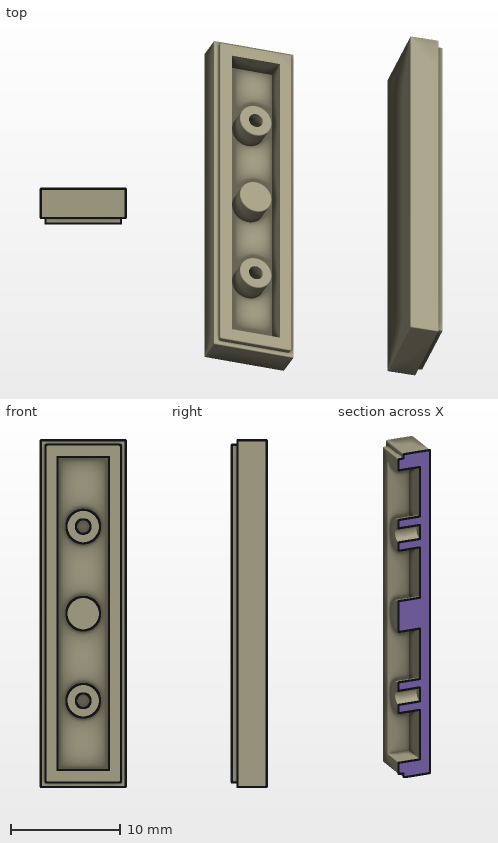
import cadquery as cq

width = 7.8
depth = 3.2
height = 31.8

lip_depth = 0.5
lip_inset = 0.4
lip_width = width - 2 * lip_inset
lip_height = height - 2 * lip_inset

wall = 1.15
cavity_depth = 2.15
cavity_width = lip_width - 2 * wall
cavity_height = lip_height - 2 * wall

post_diameter = 3.1
bore_diameter = 1.35
post_pitch = 7.98

body_round = 0.1
lip_corner_round = 0.2
lip_front_round = 0.1
post_round = 0.1

front_y = -depth / 2
body_front_y = front_y + lip_depth
back_y = depth / 2
floor_y = front_y + cavity_depth


def block(size_x, size_z, start_y, end_y):
    """Box centred in X and Z that spans start_y to end_y."""
    box = cq.Workplane("XY").box(size_x, end_y - start_y, size_z)
    return box.translate((0, (start_y + end_y) / 2, 0))


def cylinder(diameter, z):
    """Cylinder along Y from the cavity floor to the front of the lip."""
    plane = cq.Workplane("XZ", origin=(0, floor_y, z))
    return plane.circle(diameter / 2).extrude(cavity_depth)


body = block(width, height, body_front_y, back_y).edges().fillet(body_round)
lip = block(lip_width, lip_height, front_y, floor_y)
lip = lip.edges("|Y").fillet(lip_corner_round)
lip = lip.faces("<Y").edges().fillet(lip_front_round)
cavity = block(cavity_width, cavity_height, front_y, floor_y)
result = body.union(lip).cut(cavity)

for z in (-post_pitch, 0, post_pitch):
    post = cylinder(post_diameter, z).faces("<Y").edges().fillet(post_round)
    if z != 0:
        post = post.cut(cylinder(bore_diameter, z))
    result = result.union(post)